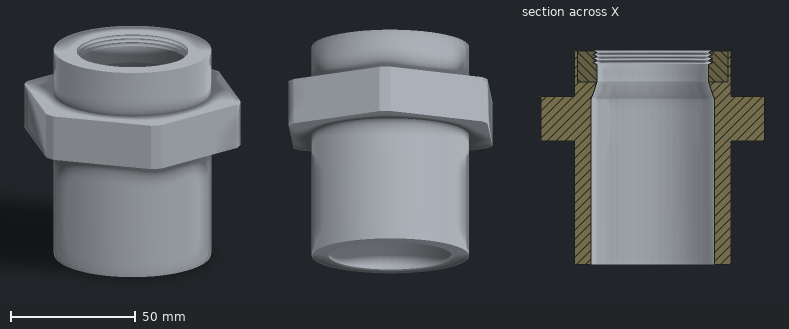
import cadquery as cq
import math

total_height = 86.0
collar_bottom = 49.5
collar_top = 67.8

across_flats = 80.0
corner_diameter = 90.0

tube_radius = 31.7
socket_radius = 24.75
socket_top = 66.6

insert_radius = 30.15
insert_depth = 12.6
insert_bottom = total_height - insert_depth

thread_minor_radius = 22.4
thread_major_radius = 23.9
thread_flank_angle = 27.5
ridge_count = 4
flank_height = (thread_major_radius - thread_minor_radius) * math.tan(math.radians(thread_flank_angle))
thread_pitch = 2 * flank_height


def make_collar():
    """Hexagonal collar with flats facing +X and -X and rounded corners."""
    hexagon_diameter = across_flats / math.cos(math.radians(30))
    collar_height = collar_top - collar_bottom
    base = cq.Workplane("XY").workplane(offset=collar_bottom)
    hexagon = base.polygon(6, hexagon_diameter).extrude(collar_height)
    hexagon = hexagon.rotate((0, 0, 0), (0, 0, 1), 30)
    rounding_cylinder = base.circle(corner_diameter / 2).extrude(collar_height)
    return hexagon.intersect(rounding_cylinder)


def make_housing_bore():
    """Revolved cavity: straight socket, taper, then the insert recess."""
    return (
        cq.Workplane("XZ")
        .moveTo(0, 0)
        .lineTo(socket_radius, 0)
        .lineTo(socket_radius, socket_top)
        .lineTo(thread_minor_radius, insert_bottom)
        .lineTo(insert_radius, insert_bottom)
        .lineTo(insert_radius, total_height)
        .lineTo(0, total_height)
        .close()
        .revolve(360, (0, 0, 0), (0, 1, 0))
    )


def make_housing():
    """Tube with a hexagonal collar and a stepped bore."""
    tube = cq.Workplane("XY").circle(tube_radius).extrude(total_height)
    return tube.union(make_collar()).cut(make_housing_bore())


def make_insert():
    """Ring whose bore has sharp thread ridges above a plain length."""
    profile = (
        cq.Workplane("XZ")
        .moveTo(insert_radius, insert_bottom)
        .lineTo(insert_radius, total_height)
    )
    for ridge in range(ridge_count):
        groove_height = total_height - ridge * thread_pitch
        profile = profile.lineTo(thread_major_radius, groove_height)
        profile = profile.lineTo(thread_minor_radius, groove_height - flank_height)
    profile = profile.lineTo(thread_minor_radius, insert_bottom).close()
    return profile.revolve(360, (0, 0, 0), (0, 1, 0))


housing = make_housing()
insert = make_insert()

result = cq.Compound.makeCompound([housing.val(), insert.val()])